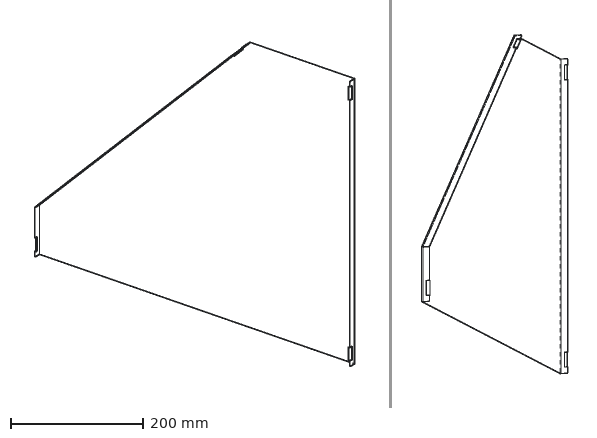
import cadquery as cq
import math

length = 600.0
height = 485.0
left_height = 84.5
slope_run = height - left_height

sheet = 1.5
depth = 12.5

tab_length = 23.0
tab_end_gap = 9.5
tab_depth = 5.5
tab_offset = 2.5

corner_bevel = 1.0


def tab_cutter(start):
    """Clearance for one tab, open at the free edge and at both flange faces."""
    return cq.Workplane("XY").box(
        tab_length, tab_depth, 3 * sheet, centered=False
    ).translate((start, 0, -sheet))


def snap_tab(start):
    """Sloping strip, rooted in the flange and ending at its free edge."""
    profile = [
        (tab_depth, 0),
        (tab_depth, sheet),
        (0, tab_offset + sheet),
        (0, tab_offset),
    ]
    return cq.Workplane("YZ").polyline(profile).close().extrude(tab_length).translate((start, 0, 0))


def flange(start, end, tab_starts):
    """Flange whose outer face follows start to end, with the panel on its left."""
    run_x = end[0] - start[0]
    run_z = end[1] - start[1]
    run = math.hypot(run_x, run_z)
    strip = cq.Workplane("XY").box(run, depth, sheet, centered=False)
    strip = strip.edges("|Z and <Y").chamfer(corner_bevel)
    for tab_start in tab_starts(run):
        strip = strip.cut(tab_cutter(tab_start)).union(snap_tab(tab_start))
    inward = (-run_z / run, 0, run_x / run)
    plane = cq.Plane(origin=(start[0], 0, start[1]), xDir=(run_x, 0, run_z), normal=inward)
    return strip.val().moved(plane.location)


def tab_at_start(run):
    return [tab_end_gap]


def tab_at_end(run):
    return [run - tab_end_gap - tab_length]


def tabs_at_both_ends(run):
    return tab_at_start(run) + tab_at_end(run)


bottom_left = (0, 0)
slope_foot = (0, left_height)
slope_top = (slope_run, height)
top_right = (length, height)
bottom_right = (length, 0)

outline = [bottom_left, slope_foot, slope_top, top_right, bottom_right]
panel = (
    cq.Workplane("XZ", origin=(0, depth, 0))
    .polyline(outline)
    .close()
    .extrude(sheet)
)

left_flange = flange(slope_foot, bottom_left, tab_at_end)
slope_flange = flange(slope_top, slope_foot, tab_at_start)
right_flange = flange(bottom_right, top_right, tabs_at_both_ends)

result = panel.union(left_flange).union(slope_flange).union(right_flange)